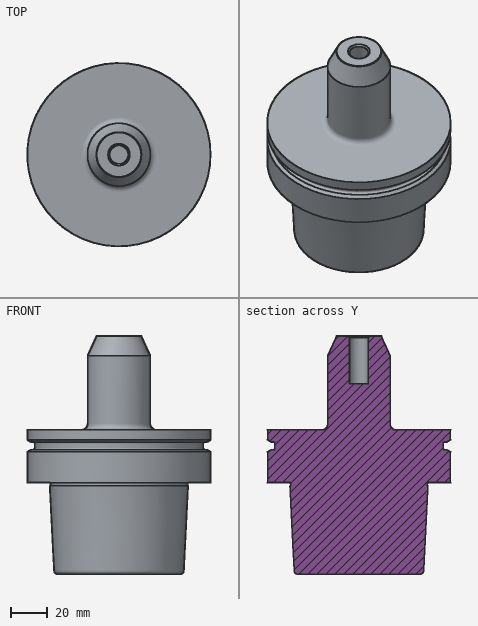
import cadquery as cq

total_height = 129.9

shank_length = 50.0
shank_tip_radius = 35.3
shank_taper = 0.05
shank_tip_fillet = 2.1

relief_height = 2.2
relief_radius = 37.4
relief_chamfer = 0.5
relief_edge_rounding = 0.4
relief_fillet = 0.8

flange_radius = 50.0
flange_thickness = 28.8
groove_centre_height = 70.0
groove_mouth_width = 6.5
groove_step_width = 4.0
groove_step_radius = 47.9
groove_floor_radius = 46.0
groove_floor_fillet = 0.8

post_radius = 17.1
post_base_fillet = 3.1
post_cone_length = 10.8
post_tip_radius = 12.1
post_tip_chamfer = 0.3

bore_radius = 5.1
bore_depth = 26.0
bore_chamfer = 0.9

flange_top = shank_length + flange_thickness
cone_base = total_height - post_cone_length


def shank():
    """Cone that widens upwards, then steps in over a rounded chamfer to the filleted relief."""
    cone_top = shank_length - relief_height
    cone_top_radius = shank_tip_radius + shank_taper * cone_top
    body = (
        cq.Workplane("XZ")
        .lineTo(shank_tip_radius, 0)
        .lineTo(cone_top_radius, cone_top)
        .lineTo(relief_radius, cone_top + relief_chamfer)
        .lineTo(relief_radius, shank_length - relief_fillet)
        .radiusArc((relief_radius + relief_fillet, shank_length), relief_fillet)
        .lineTo(0, shank_length)
        .close()
        .revolve(360, (0, 0, 0), (0, 1, 0))
    )
    cone_top_edge = cq.selectors.NearestToPointSelector((0, 0, cone_top))
    body = body.edges(cone_top_edge).fillet(relief_edge_rounding)
    return body.faces("<Z").edges().fillet(shank_tip_fillet)


def flange():
    """Disc with the gripper groove turned into its rim: sloped mouth, stepped walls, filleted floor."""
    disc = (
        cq.Workplane("XY", origin=(0, 0, shank_length))
        .circle(flange_radius)
        .extrude(flange_thickness)
    )
    mouth = groove_mouth_width / 2
    step = groove_step_width / 2
    groove = (
        cq.Workplane("XZ", origin=(0, 0, groove_centre_height))
        .moveTo(flange_radius, -mouth)
        .lineTo(groove_step_radius, -step)
        .lineTo(groove_floor_radius + groove_floor_fillet, -step)
        .radiusArc((groove_floor_radius, groove_floor_fillet - step), groove_floor_fillet)
        .lineTo(groove_floor_radius, step - groove_floor_fillet)
        .radiusArc((groove_floor_radius + groove_floor_fillet, step), groove_floor_fillet)
        .lineTo(groove_step_radius, step)
        .lineTo(flange_radius, mouth)
        .close()
        .revolve(360, (0, 0, 0), (0, 1, 0))
    )
    return disc.cut(groove)


def post():
    """Cylinder with a flared foot and a conical tip."""
    return (
        cq.Workplane("XZ")
        .moveTo(0, flange_top)
        .lineTo(post_radius + post_base_fillet, flange_top)
        .radiusArc((post_radius, flange_top + post_base_fillet), post_base_fillet)
        .lineTo(post_radius, cone_base)
        .lineTo(post_tip_radius + post_tip_chamfer, total_height - post_tip_chamfer)
        .lineTo(post_tip_radius, total_height)
        .lineTo(0, total_height)
        .close()
        .revolve(360, (0, 0, 0), (0, 1, 0))
    )


def bore():
    """Flat-bottomed hole with a countersunk mouth."""
    return (
        cq.Workplane("XZ")
        .moveTo(0, total_height - bore_depth)
        .lineTo(bore_radius, total_height - bore_depth)
        .lineTo(bore_radius, total_height - bore_chamfer)
        .lineTo(bore_radius + bore_chamfer, total_height)
        .lineTo(0, total_height)
        .close()
        .revolve(360, (0, 0, 0), (0, 1, 0))
    )


result = shank().union(flange()).union(post()).cut(bore())